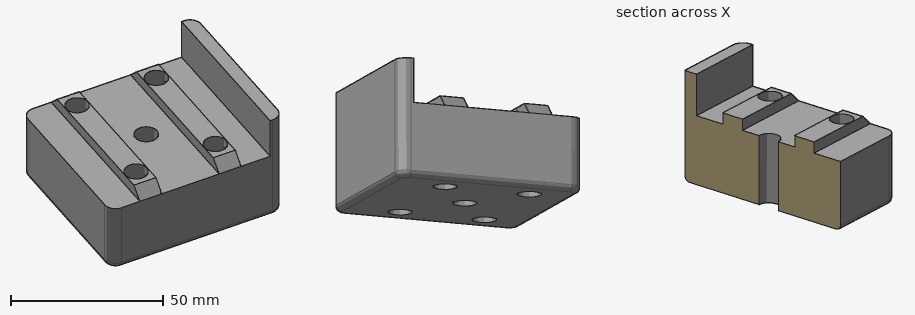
import cadquery as cq

width = 60.0
depth = 65.0
total_height = 40.0
base_height = 25.0
wall_thickness = 5.0
corner_radius = 4.0
bottom_radius = 2.0

rib_width = 8.25
rib_height = 4.0
rib_spacing = 29.85
pattern_center_y = 30.0

hole_diameter = 8.0
hole_spacing_x = 40.0

rib_centers_y = [pattern_center_y + side * rib_spacing / 2 for side in (-1, 1)]


def rounded_body():
    """Full-height block with rounded vertical corners and bottom edge."""
    block = cq.Workplane("XY").box(width, depth, total_height, centered=(True, False, False))
    return block.edges("|Z").fillet(corner_radius).faces("<Z").edges().fillet(bottom_radius)


def space_before_wall():
    """Volume above the base and in front of the back wall."""
    return (
        cq.Workplane("XY", origin=(0, 0, base_height))
        .box(width, depth - wall_thickness, total_height - base_height, centered=(True, False, False))
    )


def rib(center_y):
    """Trapezoidal rib across the whole width of the base."""
    half_bottom = width / 2
    half_top = half_bottom - rib_height
    top = base_height + rib_height
    return (
        cq.Workplane("XZ", origin=(0, center_y, 0))
        .polyline([
            (-half_bottom, base_height),
            (half_bottom, base_height),
            (half_top, top),
            (-half_top, top),
        ])
        .close()
        .extrude(rib_width / 2, both=True)
    )


def through_holes():
    """One central hole and a pair of holes through each rib."""
    centers = [(0, pattern_center_y)]
    for y in rib_centers_y:
        centers += [(-hole_spacing_x / 2, y), (hole_spacing_x / 2, y)]
    return cq.Workplane("XY").pushPoints(centers).circle(hole_diameter / 2).extrude(total_height)


body = rounded_body().cut(space_before_wall())
for y in rib_centers_y:
    body = body.union(rib(y))

result = body.cut(through_holes())